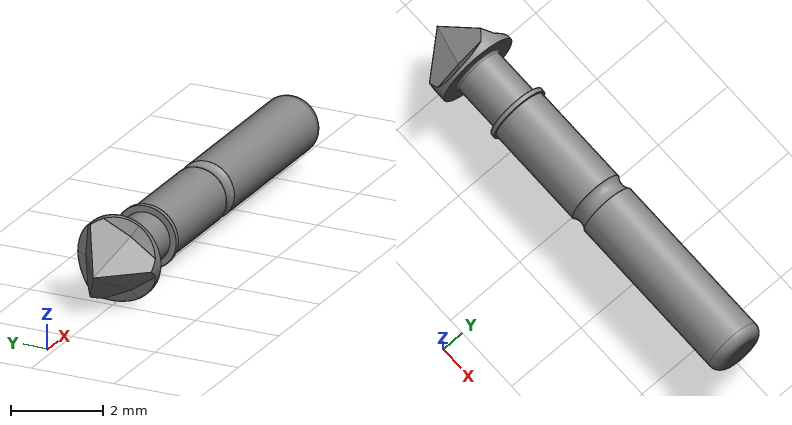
import cadquery as cq
import math

length = 9.91

head_radius = 0.98
head_end = 1.33
ridge_run = 0.85
flat_end = 1.1
flat_end_radius = 0.72
flute_end = 1.24
flute_count = 3
first_flute_angle = 0.0

neck_radius = 0.58
neck_fillet = 0.05
collar_start = 2.58
collar_end = 2.69
collar_radius = 0.73
shank_radius = 0.67
end_round = 0.26

groove_start = 5.17
groove_bottom = 5.36
groove_end = 5.56
groove_depth = 0.07


def make_blank():
    """Revolve the cylinder blank of the head together with the neck and shank."""
    round_mid = end_round * math.sqrt(0.5)
    fillet_mid = neck_fillet * (1 - math.sqrt(0.5))
    groove_radius = shank_radius - groove_depth
    profile = (
        cq.Workplane("XY")
        .lineTo(0, head_radius)
        .lineTo(head_end, head_radius)
        .lineTo(head_end, neck_radius + neck_fillet)
        .threePointArc(
            (head_end + fillet_mid, neck_radius + fillet_mid),
            (head_end + neck_fillet, neck_radius),
        )
        .lineTo(collar_start, neck_radius)
        .lineTo(collar_start, collar_radius)
        .lineTo(collar_end, collar_radius)
        .lineTo(collar_end, shank_radius)
        .lineTo(groove_start, shank_radius)
        .threePointArc((groove_bottom, groove_radius), (groove_end, shank_radius))
        .lineTo(length - end_round, shank_radius)
        .threePointArc(
            (length - end_round + round_mid, shank_radius - end_round + round_mid),
            (length, shank_radius - end_round),
        )
        .lineTo(length, 0)
        .close()
    )
    return profile.revolve(360, (0, 0, 0), (1, 0, 0))


def make_flute_cutter(tilt):
    """Prism outside one half of a flute: a flat face, then a steeper one up to the rim."""
    face_end = flat_end_radius * math.cos(tilt)
    clear_radius = 2 * head_radius
    profile = (
        cq.Workplane("XY")
        .lineTo(flat_end, face_end)
        .lineTo(flute_end, head_radius)
        .lineTo(flute_end, clear_radius)
        .lineTo(-clear_radius, clear_radius)
        .lineTo(-clear_radius, 0)
        .close()
    )
    return profile.extrude(clear_radius, both=True)


ridge_slope = head_radius / ridge_run
flute_slope = flat_end_radius / flat_end
half_pitch = math.pi / flute_count
face_tilt = math.atan((flute_slope / ridge_slope - math.cos(half_pitch)) / math.sin(half_pitch))

result = make_blank()
cutter = make_flute_cutter(face_tilt)
for flute in range(flute_count):
    flute_angle = first_flute_angle + flute * 360 / flute_count
    for side in (-1, 1):
        face_angle = flute_angle + side * math.degrees(face_tilt)
        result = result.cut(cutter.rotate((0, 0, 0), (1, 0, 0), face_angle))